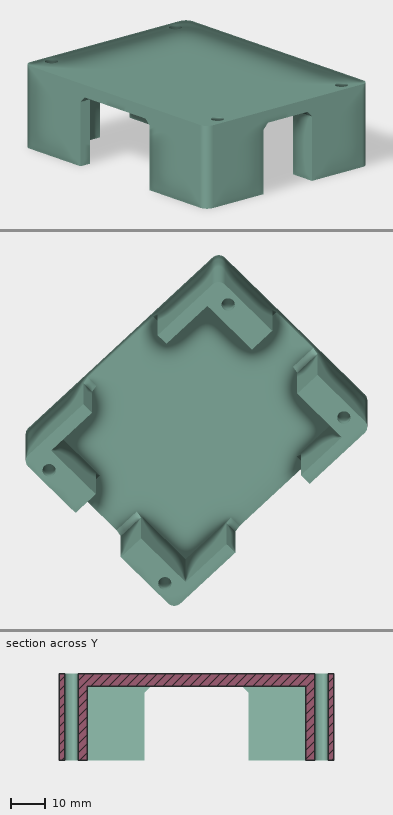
import cadquery as cq

length = 80.0
width = 63.5
height = 25.4
corner_radius = 2.6

plate_thickness = 3.85
end_wall = 8.25
side_wall = 3.7
cavity_height = height - plate_thickness

side_opening = 30.25
end_opening = 18.9
opening_chamfer = 1.8

hole_diameter = 3.85
hole_spacing_x = 72.8
hole_spacing_y = 48.3


def underside_box(size_x, size_y):
    """Box rising from the bottom face to the underside of the top plate."""
    return cq.Workplane("XY").box(size_x, size_y, cavity_height, centered=(True, True, False))


block = (
    cq.Workplane("XY")
    .box(length, width, height, centered=(True, True, False))
    .edges("|Z")
    .fillet(corner_radius)
)
cavity = underside_box(length - 2 * end_wall, width - 2 * side_wall)

side_cut = underside_box(side_opening, width).edges("|Y and >Z").chamfer(opening_chamfer)
end_cut = underside_box(length, end_opening).edges("|X and >Z").chamfer(opening_chamfer)

screw_holes = (
    cq.Workplane("XY")
    .rect(hole_spacing_x, hole_spacing_y, forConstruction=True)
    .vertices()
    .circle(hole_diameter / 2)
    .extrude(height)
)

result = block.cut(cavity).cut(side_cut).cut(end_cut).cut(screw_holes)